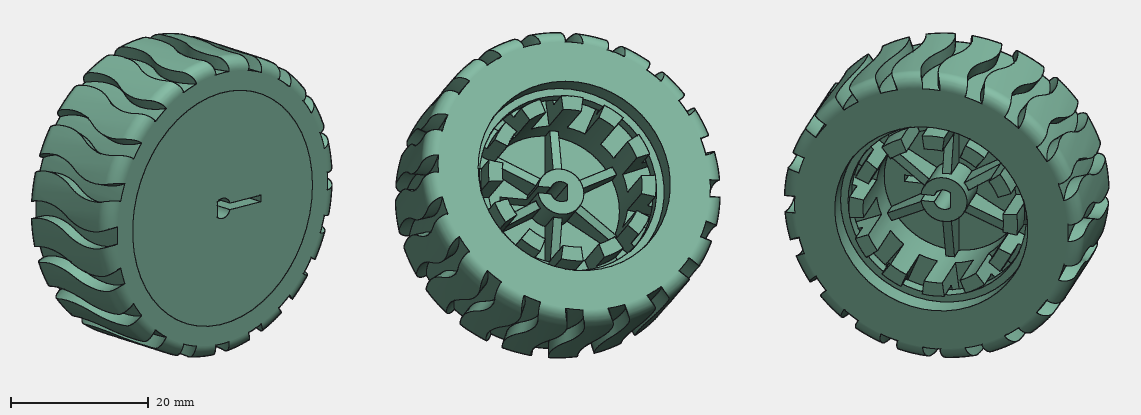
import cadquery as cq
import math

tyre_width = 17.75
tyre_radius = 22.5
shoulder_fillet = 2.0
tread_floor_radius = tyre_radius - shoulder_fillet
seat_radius = 17.55
lip_radius = 13.35
recess_radius = 14.5
near_side = -tyre_width / 2
far_side = tyre_width / 2
cut_clearance = 0.45
lip_front = -5.55
lip_back = -3.5

groove_count = 20
groove_width = 2.6
wave_height = 1.12

drum_radius = 10.55
plate_front = 4.4
hub_radius = 3.45
hub_front = -1.65

finger_count = 12
finger_tip = -7.8
finger_radius = 12.65
gap_floor = -0.22
gap_angle = 180.0 / finger_count

shoulder_depth = 0.2

spoke_count = 6
spoke_width = 1.3
spoke_outer_front = 2.0
spoke_inner_front = 0.0

bore_radius = 1.55
bore_flat = 1.0
slot_width = 1.0
slot_reach = 7.45

wheel_axis_start = (0, 0, 0)
wheel_axis_end = (1, 0, 0)


def revolve_about_axis(profile):
    """Revolve a closed XY outline (x along the axle, y as radius) about the X axis."""
    return profile.revolve(360, wheel_axis_start, wheel_axis_end)


def disc(radius, start, end):
    """Solid cylinder on the X axis between two positions."""
    return cq.Workplane("YZ", origin=(start, 0, 0)).circle(radius).extrude(end - start)


def spin(body, angle):
    """Turn a body about the X axis."""
    return body.rotate(wheel_axis_start, wheel_axis_end, angle)


def make_groove_cutter():
    """Wavy prism through the tread at the +Z side, with a floor on the tread floor radius."""
    half = groove_width / 2
    quarter = tyre_width / 4
    groove = (
        cq.Workplane("XY")
        .moveTo(near_side, half)
        .threePointArc((-quarter, half + wave_height), (0, half))
        .threePointArc((quarter, half - wave_height), (far_side, half))
        .lineTo(far_side, -half)
        .threePointArc((quarter, -half - wave_height), (0, -half))
        .threePointArc((-quarter, -half + wave_height), (near_side, -half))
        .close()
        .extrude(tyre_radius + cut_clearance)
    )
    return groove.cut(disc(tread_floor_radius, near_side, far_side))


def make_tyre():
    body = disc(tyre_radius, near_side, far_side).edges().fillet(shoulder_fillet)
    body = body.cut(disc(recess_radius, near_side, lip_front))
    body = body.cut(disc(lip_radius, lip_front, lip_back))
    body = body.cut(disc(seat_radius, lip_back, far_side))
    cutter = make_groove_cutter()
    for i in range(groove_count):
        body = body.cut(spin(cutter, i * 360 / groove_count))
    return body


def make_gap_cutter():
    """Wedge between two fingers, centred on +Y and reaching out past the rim."""
    reach = seat_radius + cut_clearance
    half_angle = math.radians(gap_angle / 2)
    side = reach * math.tan(half_angle)
    return (
        cq.Workplane("YZ", origin=(finger_tip, 0, 0))
        .polyline([(0, 0), (reach, -side), (reach, side)])
        .close()
        .extrude(gap_floor - finger_tip)
    )


def make_rim_shell():
    """Drum with its end plate, seated in the tyre and carrying a ring of fingers."""
    outline = (
        cq.Workplane("XY")
        .moveTo(finger_tip, drum_radius)
        .lineTo(finger_tip, finger_radius)
        .lineTo(lip_back - shoulder_depth, finger_radius)
        .lineTo(lip_back, lip_radius)
        .lineTo(lip_back, seat_radius)
        .lineTo(far_side, seat_radius)
        .lineTo(far_side, 0)
        .lineTo(plate_front, 0)
        .lineTo(plate_front, drum_radius)
        .close()
    )
    shell = revolve_about_axis(outline)
    cutter = make_gap_cutter()
    for i in range(finger_count):
        shell = shell.cut(spin(cutter, (i + 0.5) * 360 / finger_count))
    return shell


def make_spoke():
    """Rib on the plate, its front sloping back from the hub to the drum wall along +Z."""
    return (
        cq.Workplane("XZ")
        .polyline([
            (plate_front, 0),
            (spoke_inner_front, 0),
            (spoke_inner_front, hub_radius),
            (spoke_outer_front, drum_radius),
            (plate_front, drum_radius),
        ])
        .close()
        .extrude(spoke_width / 2, both=True)
    )


def make_axle_cutter():
    """Round bore with a flat towards -Y and a straight slot towards +Y."""
    length = far_side - hub_front
    centre_x = (far_side + hub_front) / 2
    bore = disc(bore_radius, hub_front, far_side)
    kept_side = cq.Workplane("XY").box(length, bore_flat + bore_radius, 2 * bore_radius).translate(
        (centre_x, (bore_radius - bore_flat) / 2, 0)
    )
    slot = cq.Workplane("XY").box(length, slot_reach, slot_width).translate(
        (centre_x, slot_reach / 2, 0)
    )
    return bore.intersect(kept_side).union(slot)


def make_rim():
    rim = make_rim_shell().union(disc(hub_radius, hub_front, plate_front))
    spoke = make_spoke()
    for i in range(spoke_count):
        rim = rim.union(spin(spoke, i * 360 / spoke_count))
    return rim.cut(make_axle_cutter())


tyre = make_tyre()
rim = make_rim()
result = cq.Compound.makeCompound([tyre.solids().val(), rim.solids().val()])